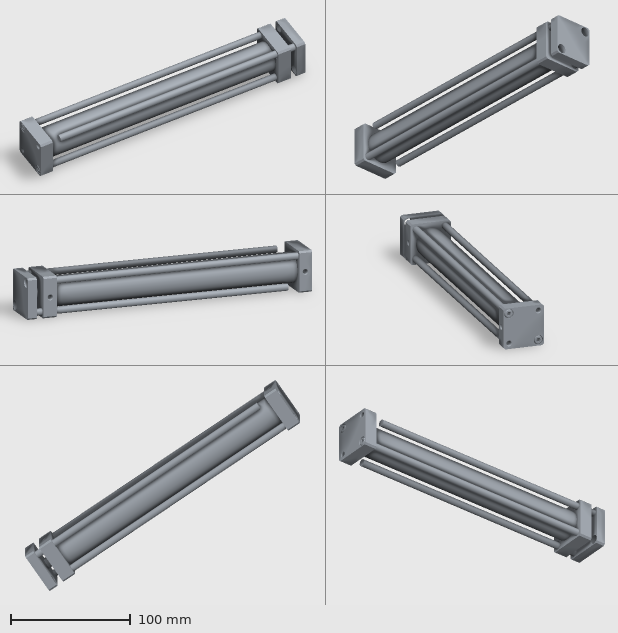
import cadquery as cq
import math

LENGTH = 253.0
SIDE = 36.0
CORNER_CHAMFER = 1.5

REAR_HEAD_THICKNESS = 11.5
FRONT_HEAD_THICKNESS = 12.0
TOOL_PLATE_THICKNESS = 8.0
TOOL_PLATE_GAP = 5.8
TOOL_PLATE_REAR = LENGTH - TOOL_PLATE_THICKNESS
FRONT_HEAD_FRONT = TOOL_PLATE_REAR - TOOL_PLATE_GAP
FRONT_HEAD_REAR = FRONT_HEAD_FRONT - FRONT_HEAD_THICKNESS

ROD_SPACING = 26.0
CORNER_OFFSET = ROD_SPACING / 2
TIE_CORNERS = [(-CORNER_OFFSET, CORNER_OFFSET), (CORNER_OFFSET, -CORNER_OFFSET)]
GUIDE_CORNERS = [(CORNER_OFFSET, CORNER_OFFSET), (-CORNER_OFFSET, -CORNER_OFFSET)]
ROD_DIAMETER = 6.0
GUIDE_REAR = 20.2

GUIDE_RECESS_DIAMETER = 8.0
GUIDE_RECESS_DEPTH = 0.5

COUNTERBORE_DIAMETER = 8.0
COUNTERBORE_DEPTH = 5.0
TIE_HEAD_DIAMETER = 7.0
TIE_HEAD_CHAMFER = 0.5
SOCKET_ACROSS_FLATS = 3.3
SOCKET_DEPTH = 3.5
SOCKET_POINT_DEPTH = 1.0

TAP_DIAMETER = 4.0
TAP_MOUTH_DIAMETER = 5.0
MOUNTING_HOLE_DEPTH = 7.5
PORT_DEPTH = 11.5
PORT_INSET = 6.0
PORT_RIDGE_DIAMETER = 2.0

BARREL_DIAMETER = 26.0
PISTON_ROD_DIAMETER = 10.4
PISTON_ROD_CHAMFER_LENGTH = 1.3
PISTON_ROD_CHAMFER_INSET = 0.8
WRENCH_FLATS = 8.5
WRENCH_FLAT_LENGTH = 3.5


def along_y(diameter, y_start, y_end, centers=((0, 0),)):
    """Round bars parallel to Y at the given (x, z) centres."""
    plane = cq.Workplane("XZ", origin=(0, y_start, 0))
    return plane.pushPoints(list(centers)).circle(diameter / 2).extrude(y_start - y_end)


def cone_along_y(diameter_start, diameter_end, y_start, y_end):
    """Cone or truncated cone on the Y axis."""
    base = cq.Vector(0, y_start, 0)
    axis = cq.Vector(0, 1, 0)
    return cq.Workplane(cq.Solid.makeCone(diameter_start / 2, diameter_end / 2, y_end - y_start, base, axis))


def plate(y_rear, thickness):
    """Square plate with chamfered long edges."""
    block = cq.Workplane("XY").box(SIDE, thickness, SIDE).edges("|Y").chamfer(CORNER_CHAMFER)
    return block.translate((0, y_rear + thickness / 2, 0))


def tapped_hole(depth):
    """Cutter along +Z from the origin: a tap drill with a countersunk mouth."""
    sink = (TAP_MOUTH_DIAMETER - TAP_DIAMETER) / 2
    drill = cq.Workplane("XY").circle(TAP_DIAMETER / 2).extrude(depth)
    return drill.union(cq.Workplane("XY").circle(TAP_MOUTH_DIAMETER / 2).extrude(sink, taper=45))


def port(y):
    """Air port cutter in the middle of the -X face, leaving a half-round ridge along its floor."""
    ridge = along_y(PORT_RIDGE_DIAMETER, -TAP_DIAMETER, TAP_DIAMETER).translate((0, 0, PORT_DEPTH))
    return tapped_hole(PORT_DEPTH).cut(ridge).rotate((0, 0, 0), (0, 1, 0), 90).translate((-SIDE / 2, y, 0))


def make_rear_head():
    """Rear head with tie rod screw seats, two mounting holes and an air port."""
    head = plate(0, REAR_HEAD_THICKNESS).cut(port(PORT_INSET))
    head = head.cut(along_y(ROD_DIAMETER, 0, REAR_HEAD_THICKNESS, TIE_CORNERS))
    head = head.cut(along_y(COUNTERBORE_DIAMETER, 0, COUNTERBORE_DEPTH, TIE_CORNERS))
    for x, z in GUIDE_CORNERS:
        cutter = tapped_hole(MOUNTING_HOLE_DEPTH).rotate((0, 0, 0), (1, 0, 0), -90)
        head = head.cut(cutter.translate((x, 0, z)))
    return head


def make_front_head():
    """Front head, bored for the piston rod, the tie rods and the guide rods."""
    head = plate(FRONT_HEAD_REAR, FRONT_HEAD_THICKNESS)
    head = head.cut(port(FRONT_HEAD_FRONT - PORT_INSET))
    head = head.cut(along_y(PISTON_ROD_DIAMETER, FRONT_HEAD_REAR, FRONT_HEAD_FRONT))
    corners = TIE_CORNERS + GUIDE_CORNERS
    head = head.cut(along_y(ROD_DIAMETER, FRONT_HEAD_REAR, FRONT_HEAD_FRONT, corners))
    recess_end = FRONT_HEAD_REAR + GUIDE_RECESS_DEPTH
    return head.cut(along_y(GUIDE_RECESS_DIAMETER, FRONT_HEAD_REAR, recess_end, GUIDE_CORNERS))


def make_tool_plate():
    """Tool plate with clearance holes in line with the tie rods."""
    holes = along_y(COUNTERBORE_DIAMETER, TOOL_PLATE_REAR, LENGTH, TIE_CORNERS)
    return plate(TOOL_PLATE_REAR, TOOL_PLATE_THICKNESS).cut(holes)


def make_barrel():
    """Plain round barrel clamped between the two heads."""
    return along_y(BARREL_DIAMETER, REAR_HEAD_THICKNESS, FRONT_HEAD_REAR)


def make_piston_rod():
    """Piston rod with a chamfered tip and two wrench flats next to the tool plate."""
    tip_rear = TOOL_PLATE_REAR - PISTON_ROD_CHAMFER_LENGTH
    rod = along_y(PISTON_ROD_DIAMETER, FRONT_HEAD_REAR, tip_rear)
    tip_diameter = PISTON_ROD_DIAMETER - 2 * PISTON_ROD_CHAMFER_INSET
    rod = rod.union(cone_along_y(PISTON_ROD_DIAMETER, tip_diameter, tip_rear, TOOL_PLATE_REAR))
    radius = PISTON_ROD_DIAMETER / 2
    flat = WRENCH_FLATS / 2
    flat_rear = TOOL_PLATE_REAR - WRENCH_FLAT_LENGTH
    for sign in (-1, 1):
        outline = [(sign * flat, TOOL_PLATE_REAR), (sign * flat, flat_rear),
                   (sign * radius, flat_rear - (radius - flat)), (sign * radius, TOOL_PLATE_REAR)]
        rod = rod.cut(cq.Workplane("XY").polyline(outline).close().extrude(radius, both=True))
    return rod


def make_tie_rod(x, z):
    """Tie rod with a chamfered round screw head and a hexagon socket that ends in a point."""
    screw_head = along_y(TIE_HEAD_DIAMETER, 0, COUNTERBORE_DEPTH)
    screw_head = screw_head.faces("<Y").edges().chamfer(TIE_HEAD_CHAMFER)
    rod = screw_head.union(along_y(ROD_DIAMETER, COUNTERBORE_DEPTH, FRONT_HEAD_FRONT))
    socket_corners = SOCKET_ACROSS_FLATS / math.cos(math.pi / 6)
    socket = cq.Workplane("XZ").polygon(6, socket_corners).extrude(-SOCKET_DEPTH)
    point = cone_along_y(SOCKET_ACROSS_FLATS, 0, SOCKET_DEPTH, SOCKET_DEPTH + SOCKET_POINT_DEPTH)
    return rod.cut(socket).cut(point).translate((x, 0, z))


def make_guide_rod(x, z):
    """Plain guide rod, fixed to the tool plate and sliding through the front head."""
    return along_y(ROD_DIAMETER, GUIDE_REAR, TOOL_PLATE_REAR).translate((x, 0, z))


rear_head = make_rear_head()
front_head = make_front_head()
tool_plate = make_tool_plate()
barrel = make_barrel()
piston_rod = make_piston_rod()
tie_rods = [make_tie_rod(x, z).val() for x, z in TIE_CORNERS]
guide_rods = [make_guide_rod(x, z).val() for x, z in GUIDE_CORNERS]

result = cq.Compound.makeCompound([
    rear_head.val(), front_head.val(), tool_plate.val(),
    barrel.val(), piston_rod.val(), *tie_rods, *guide_rods,
])